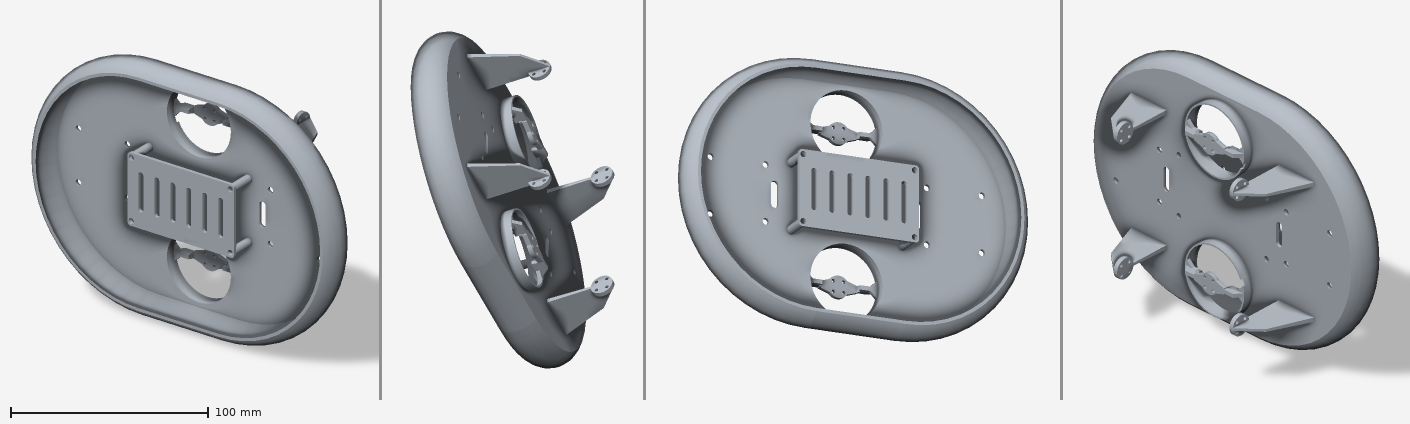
import cadquery as cq
LENGTH = 192.7
HEIGHT = 142.8
RIM_DEPTH = 20.0
REAR_Y = 56.0

RIM_BULGE = 5.4
RIM_WALL = 1.7

PANEL_SEAT = 0.48
PANEL_INSET = RIM_BULGE + RIM_WALL + PANEL_SEAT
PANEL_THICKNESS = 2.0
PANEL_FRONT = RIM_DEPTH - PANEL_THICKNESS
SCREW_DIAMETER = 3.5
SCREW_X = (44.9, 75.5)
SCREW_Z = 15.2
CABLE_SLOT_X = 39.9
CABLE_SLOT_LENGTH = 14.5
CABLE_SLOT_WIDTH = 4.0

DISC_RADIUS = 6.0
DISC_THICKNESS = 2.5
DISC_HOLE_SPACING = 5.8
DISC_HOLE_DIAMETER = 2.0

MOUNT_Z = 41.0
COLLAR_RADIUS = 21.0
BORE_RADIUS = 20.0
COLLAR_HEIGHT = 6.0
MOUNT_HEIGHT = 10.0
COLLAR_Y = RIM_DEPTH + COLLAR_HEIGHT
MOUNT_Y = RIM_DEPTH + MOUNT_HEIGHT
NOTCH_DEPTH = 1.7
NOTCH_WIDTH = 3.7
NOTCH_ANGLE = 19.5
FOOT_DROP = 2.1
FOOT_Y = COLLAR_Y - FOOT_DROP
FOOT_HALF_WIDTH = 1.2
FOOT_INNER_X = 10.6
FOOT_TOP_X = 17.0
FOOT_OUTER_X = 20.5
FLARE_START_X = 16.0
FLARE_END_X = 20.0
FLARE_HALF_WIDTH = FOOT_HALF_WIDTH + FLARE_END_X - FLARE_START_X
WEB_ROOT_HALF_WIDTH = 1.7
WEB_TIP_X = 4.6
WEB_TIP_HALF_WIDTH = 3.7
WEB_Y = MOUNT_Y - DISC_THICKNESS
GUSSET_LENGTH = 0.5

FIN_Z = 39.7
FIN_INNER_X = 39.7
FIN_ROOT_X = 64.7
FIN_SHOULDER_X = 55.0
FIN_SHOULDER_HEIGHT = 24.9
FIN_SHOULDER_Y = RIM_DEPTH + FIN_SHOULDER_HEIGHT
FIN_ROOT_THICKNESS = 2.5
FIN_TIP_THICKNESS = 1.5

COVER_LENGTH = 66.7
COVER_HEIGHT = 41.2
COVER_THICKNESS = 2.0
COVER_FRONT = 2.5
COVER_CORNER_RADIUS = 1.7
POST_X = 31.0
POST_Z = 18.0
POST_DIAMETER = 4.6
POST_BORE = 3.3
POST_POINTS = [(x, z) for x in (-POST_X, POST_X) for z in (-POST_Z, POST_Z)]
VENT_COUNT = 6
VENT_PITCH = 10.0
VENT_LENGTH = 22.5
VENT_WIDTH = 3.0


def sketch_at(y):
    """Workplane at depth y with local axes X and Z; a negative extrusion goes to the rear."""
    return cq.Workplane("XZ", origin=(0, y, 0))


def make_rim():
    """Crescent section with a flat seat for the panel, swept around a stadium-shaped path."""
    half_straight = (LENGTH - HEIGHT) / 2
    outer = HEIGHT / 2
    edge = outer - RIM_BULGE
    lip = edge - RIM_WALL
    seat = outer - PANEL_INSET
    path = (
        sketch_at(0)
        .moveTo(0, -edge)
        .lineTo(half_straight, -edge)
        .threePointArc((half_straight + edge, 0), (half_straight, edge))
        .lineTo(-half_straight, edge)
        .threePointArc((-half_straight - edge, 0), (-half_straight, -edge))
        .close()
    )
    section = (
        cq.Workplane("YZ")
        .moveTo(0, -edge)
        .threePointArc((RIM_DEPTH / 2, -outer), (RIM_DEPTH, -edge))
        .lineTo(RIM_DEPTH, -seat)
        .lineTo(PANEL_FRONT, -seat)
        .threePointArc((RIM_DEPTH / 2, RIM_WALL - outer), (0, -lip))
        .close()
    )
    return section.sweep(path)


def make_panel_sheet():
    """Flat stadium sheet with its screw holes, post holes, cable slots and collar bores."""
    length = LENGTH - 2 * PANEL_INSET
    height = HEIGHT - 2 * PANEL_INSET
    sheet = sketch_at(PANEL_FRONT).slot2D(length, height).extrude(-PANEL_THICKNESS)
    screw_points = [
        (side * x, z)
        for side in (-1, 1)
        for x in SCREW_X
        for z in (-SCREW_Z, SCREW_Z)
    ]
    round_holes = [
        (screw_points, SCREW_DIAMETER / 2),
        (POST_POINTS, POST_BORE / 2),
        ([(0, -MOUNT_Z), (0, MOUNT_Z)], BORE_RADIUS),
    ]
    for points, radius in round_holes:
        holes = sketch_at(PANEL_FRONT).pushPoints(points).circle(radius).extrude(-PANEL_THICKNESS)
        sheet = sheet.cut(holes)
    cable_slots = (
        sketch_at(PANEL_FRONT)
        .pushPoints([(-CABLE_SLOT_X, 0), (CABLE_SLOT_X, 0)])
        .slot2D(CABLE_SLOT_LENGTH, CABLE_SLOT_WIDTH, 90)
        .extrude(-PANEL_THICKNESS)
    )
    return sheet.cut(cable_slots)


def make_disc():
    """Disc with four small holes, standing on the XY plane."""
    return (
        cq.Workplane("XY")
        .circle(DISC_RADIUS)
        .extrude(DISC_THICKNESS)
        .faces(">Z")
        .workplane()
        .rect(DISC_HOLE_SPACING, DISC_HOLE_SPACING, forConstruction=True)
        .vertices()
        .hole(DISC_HOLE_DIAMETER)
    )


def make_collar():
    """Ring behind the panel with one notch in its rear edge."""
    ring = sketch_at(RIM_DEPTH).circle(COLLAR_RADIUS).circle(BORE_RADIUS).extrude(-COLLAR_HEIGHT)
    notch = (
        cq.Workplane("XY")
        .box(COLLAR_RADIUS, NOTCH_DEPTH, NOTCH_WIDTH)
        .translate((-COLLAR_RADIUS, COLLAR_Y - NOTCH_DEPTH / 2, 0))
        .rotate((0, 0, 0), (0, 1, 0), -NOTCH_ANGLE)
    )
    return ring.cut(notch)


def make_half_arm():
    """+X half of a cross arm: a foot on the collar and a web that widens toward the disc."""
    foot = (
        cq.Workplane("XY")
        .polyline([
            (FOOT_INNER_X, FOOT_Y),
            (FOOT_OUTER_X, FOOT_Y),
            (FOOT_OUTER_X, COLLAR_Y),
            (FOOT_TOP_X, MOUNT_Y),
            (FOOT_INNER_X, MOUNT_Y),
        ])
        .close()
        .extrude(FOOT_HALF_WIDTH, both=True)
    )
    flare = (
        sketch_at(FOOT_Y)
        .polyline([
            (FLARE_START_X, -FOOT_HALF_WIDTH),
            (FLARE_END_X, -FLARE_HALF_WIDTH),
            (FLARE_END_X, FLARE_HALF_WIDTH),
            (FLARE_START_X, FOOT_HALF_WIDTH),
        ])
        .close()
        .extrude(-FOOT_DROP)
    )
    web = (
        sketch_at(WEB_Y)
        .polyline([
            (FOOT_INNER_X, -WEB_ROOT_HALF_WIDTH),
            (FOOT_INNER_X, WEB_ROOT_HALF_WIDTH),
            (WEB_TIP_X, WEB_TIP_HALF_WIDTH),
            (WEB_TIP_X, -WEB_TIP_HALF_WIDTH),
        ])
        .close()
        .extrude(-DISC_THICKNESS)
    )
    gusset = (
        cq.Workplane("XY")
        .polyline([
            (FOOT_INNER_X, COLLAR_Y),
            (FOOT_INNER_X + GUSSET_LENGTH, COLLAR_Y),
            (FOOT_INNER_X + GUSSET_LENGTH, WEB_Y),
            (FOOT_INNER_X - GUSSET_LENGTH, WEB_Y),
        ])
        .close()
        .extrude(WEB_ROOT_HALF_WIDTH, both=True)
    )
    return foot.union(flare).union(web).union(gusset)


def make_mount():
    """Upper mount: collar, cross arm and central disc."""
    disc = make_disc().rotate((0, 0, 0), (1, 0, 0), 90).translate((0, MOUNT_Y, 0))
    half_arm = make_half_arm()
    mount = make_collar().union(disc).union(half_arm).union(half_arm.mirror("YZ"))
    return mount.translate((0, 0, MOUNT_Z))


def make_fin():
    """Upper fin on the +X side: tapered root, flat triangular tip and a disc on the inner face."""
    root_length = FIN_ROOT_X - FIN_INNER_X
    shoulder_length = FIN_SHOULDER_X - FIN_INNER_X
    root = (
        sketch_at(RIM_DEPTH)
        .center(FIN_INNER_X + root_length / 2, 0)
        .rect(root_length, FIN_ROOT_THICKNESS)
        .workplane(offset=-FIN_SHOULDER_HEIGHT)
        .center((shoulder_length - root_length) / 2, 0)
        .rect(shoulder_length, FIN_TIP_THICKNESS)
        .loft(ruled=True)
    )
    tip = (
        cq.Workplane("XY")
        .polyline([
            (FIN_INNER_X, FIN_SHOULDER_Y),
            (FIN_SHOULDER_X, FIN_SHOULDER_Y),
            (FIN_INNER_X + DISC_THICKNESS, REAR_Y),
            (FIN_INNER_X, REAR_Y),
        ])
        .close()
        .extrude(FIN_TIP_THICKNESS / 2, both=True)
    )
    disc = make_disc().rotate((0, 0, 0), (0, 1, 0), 90).translate((FIN_INNER_X, REAR_Y - DISC_RADIUS, 0))
    return root.union(tip).union(disc).translate((0, 0, FIN_Z))


def make_panel():
    """Panel sheet with both mounts and all four fins on its rear face."""
    mount = make_mount()
    fin = make_fin()
    panel = make_panel_sheet()
    for upper_part in (mount, fin, fin.mirror("YZ")):
        panel = panel.union(upper_part).union(upper_part.mirror("XY"))
    return panel


def make_cover():
    """Vented plate with four hollow posts that stand on the front face of the panel."""
    post_length = PANEL_FRONT - COVER_FRONT
    plate = (
        sketch_at(COVER_FRONT)
        .rect(COVER_LENGTH, COVER_HEIGHT)
        .extrude(-COVER_THICKNESS)
        .edges("|Y")
        .fillet(COVER_CORNER_RADIUS)
    )
    posts = sketch_at(COVER_FRONT).pushPoints(POST_POINTS).circle(POST_DIAMETER / 2).extrude(-post_length)
    bores = sketch_at(COVER_FRONT).pushPoints(POST_POINTS).circle(POST_BORE / 2).extrude(-post_length)
    vents = (
        sketch_at(COVER_FRONT)
        .rarray(VENT_PITCH, 2, VENT_COUNT, 1)
        .slot2D(VENT_LENGTH, VENT_WIDTH, 90)
        .extrude(-COVER_THICKNESS)
    )
    return plate.union(posts).cut(bores).cut(vents)


rim = make_rim()
panel = make_panel()
cover = make_cover()
result = cq.Compound.makeCompound([rim.solids().val(), panel.solids().val(), cover.solids().val()])